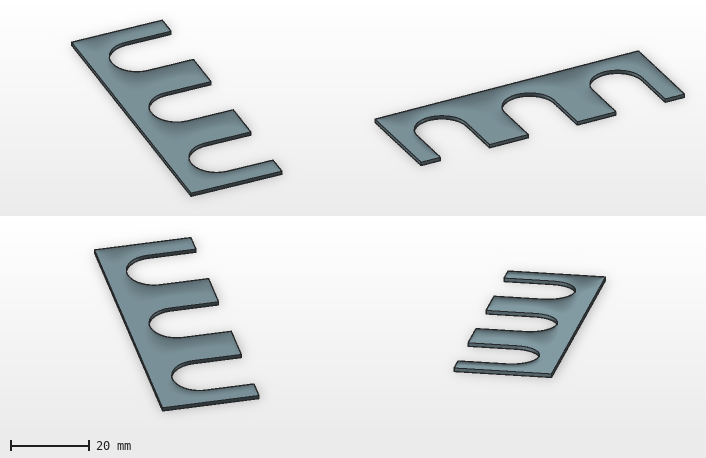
import cadquery as cq

length = 76.2
width = 25.4
thickness = 1.0
slot_count = 3
slot_width = 14.2

slot_pitch = length / slot_count
slot_radius = slot_width / 2
slot_center_y = width / 2


def slot_cutter(center_x):
    """Solid filling one slot, from its round end to the open edge."""
    return (
        cq.Workplane("XY")
        .moveTo(center_x - slot_radius, width)
        .lineTo(center_x - slot_radius, slot_center_y)
        .threePointArc(
            (center_x, slot_center_y - slot_radius),
            (center_x + slot_radius, slot_center_y),
        )
        .lineTo(center_x + slot_radius, width)
        .close()
        .extrude(thickness)
    )


result = cq.Workplane("XY").box(length, width, thickness, centered=False)
for index in range(slot_count):
    result = result.cut(slot_cutter((index + 0.5) * slot_pitch))